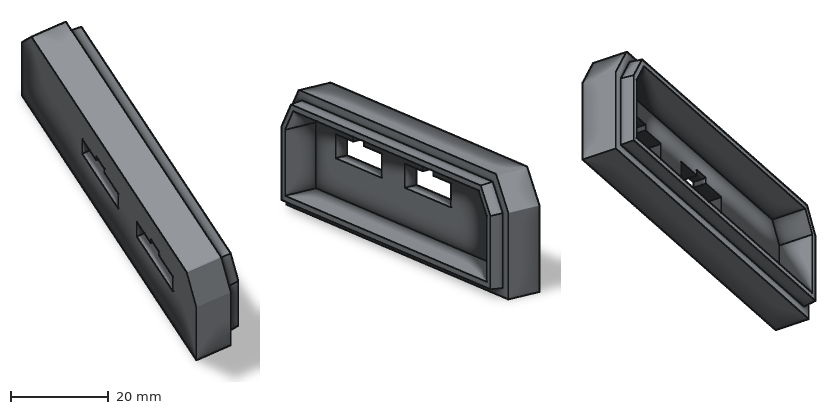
import cadquery as cq
import math

length = 75.65
height = 26.0
total_depth = 11.0
plate_depth = 8.0
plug_depth = total_depth - plate_depth

slope_angle = 60.0
corner_width = 4.2
corner_height = corner_width * math.tan(math.radians(slope_angle))
corner_radius = 0.5

plug_inset = 2.0
plug_taper = 5.0
cavity_inset = 3.5
front_wall = 3.0

window_centers = (-3.8, 19.8)
window_width = 15.65
window_bottom = 11.8
window_height = 5.2
notch_width = 3.55
notch_height = 1.35


def plane_at(depth):
    """XZ sketch plane at the given Y, with its normal towards +Y."""
    return cq.Plane(origin=(0, depth, 0), xDir=(-1, 0, 0), normal=(0, 1, 0))


def outline(depth, inset=0.0):
    """Plate outline moved inwards by the same distance on every side."""
    slope = math.radians(slope_angle)
    half_length = length / 2 - inset
    top = height - inset
    top_half = length / 2 - corner_width - inset * math.tan(slope / 2)
    shoulder = height - corner_height - inset * math.tan((math.pi / 2 - slope) / 2)
    points = [
        (-half_length, inset),
        (half_length, inset),
        (half_length, shoulder),
        (top_half, top),
        (-top_half, top),
        (-half_length, shoulder),
    ]
    return cq.Workplane(plane_at(depth)).polyline(points).close()


def make_plate():
    """Solid plate with its four upper outline edges rounded."""
    plate = outline(0).extrude(plate_depth)
    sloped_edges = plate.edges("|Y").filter(lambda edge: edge.Center().z > height / 2)
    return sloped_edges.fillet(corner_radius)


def make_plug():
    """Raised step on the back that narrows away from the plate."""
    return outline(plate_depth, plug_inset).extrude(plug_depth, taper=plug_taper)


def make_cavity():
    """Hollow interior, open at the back."""
    return outline(front_wall, cavity_inset).extrude(total_depth - front_wall)


def make_window(center_x):
    """Notched rectangular opening through the front wall."""
    base = cq.Workplane("XY").center(center_x, 0)
    opening = base.workplane(offset=window_bottom).box(
        window_width, front_wall, window_height, centered=(True, False, False)
    )
    notch = base.workplane(offset=window_bottom + window_height).box(
        notch_width, front_wall, notch_height, centered=(True, False, False)
    )
    return opening.union(notch)


result = make_plate().union(make_plug()).cut(make_cavity())
for window_center in window_centers:
    result = result.cut(make_window(window_center))